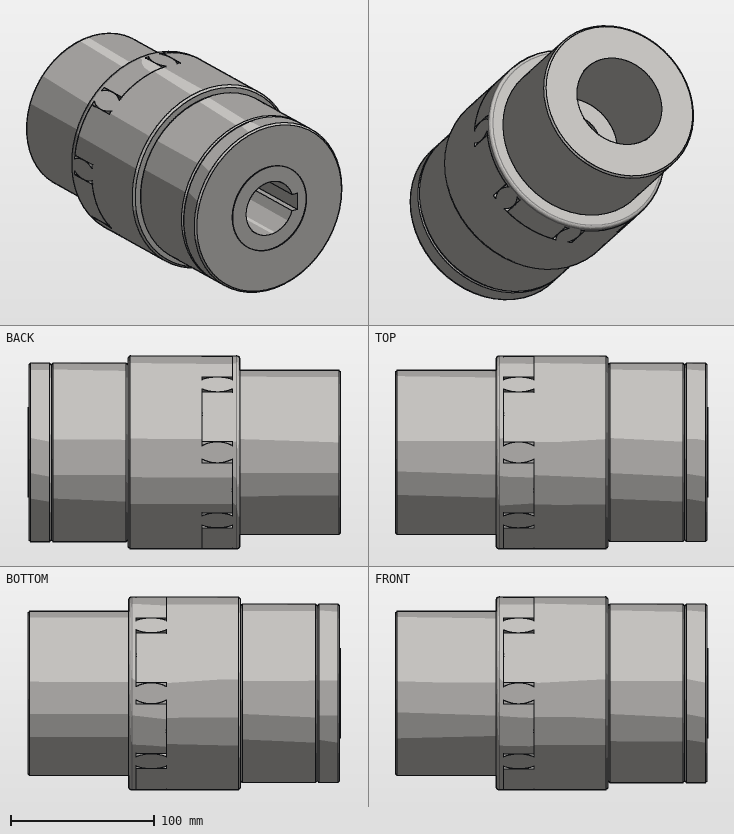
import cadquery as cq
import math

length = 218.5
flange_start = 70.4
spider_start = 75.4
spider_end = 97.0
sleeve_end = 148.5
ring_joint = 202.1
end_boss_height = 0.7
hub_end = length - end_boss_height

left_hub_radius = 57.5
sleeve_radius = 67.5
right_hub_radius = 62.5
end_boss_radius = 31.2

hub_chamfer = 1.3
sleeve_chamfer = 1.5
flange_fillet = 2.5

left_bore_radius = 32.5
right_bore_radius = 19.9
keyway_half_width = 6.1
keyway_top = 23.4

lobe_count = 8
jaw_gap_half_width = 7.5
lobe_end_half_width = 4.5
lobe_clearance = 0.1
jaw_tip_clearance = 0.2
jaw_root_radius = 43.7


def cylinder(start, end, radius):
    """Round bar on the X axis between two stations."""
    return cq.Workplane("YZ", origin=(start, 0, 0)).circle(radius).extrude(end - start)


def make_body():
    """Turned outside: left hub, jaw sleeve, right hub with its end ring, and end boss."""
    left_hub = cylinder(0, flange_start, left_hub_radius).faces("<X").chamfer(hub_chamfer)
    sleeve = cylinder(flange_start, sleeve_end, sleeve_radius)
    sleeve = sleeve.faces("<X").edges().fillet(flange_fillet)
    sleeve = sleeve.faces(">X").edges().chamfer(sleeve_chamfer)
    right_hub = cylinder(sleeve_end, ring_joint, right_hub_radius).chamfer(hub_chamfer)
    end_ring = cylinder(ring_joint, hub_end, right_hub_radius).chamfer(hub_chamfer)
    end_boss = cylinder(hub_end, length, end_boss_radius)
    return left_hub.union(sleeve).union(right_hub).union(end_ring).union(end_boss)


def make_bores():
    """Wide blind bore from the left, narrow keyed bore through to the right."""
    wide_bore = cylinder(0, spider_start, left_bore_radius)
    narrow_bore = cylinder(spider_start, length, right_bore_radius)
    keyway = cq.Workplane("XY").box(
        length - spider_start, keyway_top, 2 * keyway_half_width, centered=(False, False, True)
    )
    keyway = keyway.translate((spider_start, 0, 0))
    return wide_bore.union(narrow_bore).union(keyway)


def make_lobe_pockets():
    """Two clearances left between a barrel-shaped lobe and its jaws, on the +Z side."""
    spider_middle = (spider_start + spider_end) / 2
    bulge = jaw_gap_half_width - lobe_clearance
    pocket_depth = sleeve_radius - jaw_root_radius
    base = cq.Workplane("XY", origin=(0, 0, jaw_root_radius))
    gap = (
        base.center(spider_middle, 0)
        .rect(spider_end - spider_start, 2 * jaw_gap_half_width)
        .extrude(pocket_depth)
    )
    lobe = (
        base.moveTo(spider_start, -lobe_end_half_width)
        .threePointArc((spider_middle, -bulge), (spider_end, -lobe_end_half_width))
        .lineTo(spider_end, lobe_end_half_width)
        .threePointArc((spider_middle, bulge), (spider_start, lobe_end_half_width))
        .close()
        .extrude(pocket_depth)
    )
    return gap.cut(lobe)


def make_jaw_tip_slit(start):
    """Thin radial slit at a jaw tip, spanning one jaw between two lobes, centred on +Z."""
    half_pitch = math.pi / lobe_count

    def jaw_corner(along_lobe):
        """Point on the jaw flank, which runs parallel to the axis of the next lobe."""
        across = along_lobe * math.sin(half_pitch) - jaw_gap_half_width * math.cos(half_pitch)
        radial = along_lobe * math.cos(half_pitch) + jaw_gap_half_width * math.sin(half_pitch)
        return across, radial

    inner_across, inner_radial = jaw_corner(jaw_root_radius)
    outer_across, outer_radial = jaw_corner(sleeve_radius)
    slit_outer_radius = math.hypot(outer_across, outer_radial)
    return (
        cq.Workplane("YZ", origin=(start, 0, 0))
        .moveTo(-inner_across, inner_radial)
        .lineTo(inner_across, inner_radial)
        .lineTo(outer_across, outer_radial)
        .threePointArc((0, slit_outer_radius), (-outer_across, outer_radial))
        .close()
        .extrude(jaw_tip_clearance)
    )


result = make_body().cut(make_bores())
lobe_pockets = make_lobe_pockets()
left_jaw_slit = make_jaw_tip_slit(spider_end - jaw_tip_clearance)
right_jaw_slit = make_jaw_tip_slit(spider_start)
lobe_pitch = 360 / lobe_count

for index in range(lobe_count):
    lobe_angle = index * lobe_pitch
    jaw_angle = lobe_angle + lobe_pitch / 2
    slit = right_jaw_slit if index % 2 else left_jaw_slit
    result = result.cut(lobe_pockets.rotate((0, 0, 0), (1, 0, 0), lobe_angle))
    result = result.cut(slit.rotate((0, 0, 0), (1, 0, 0), jaw_angle))